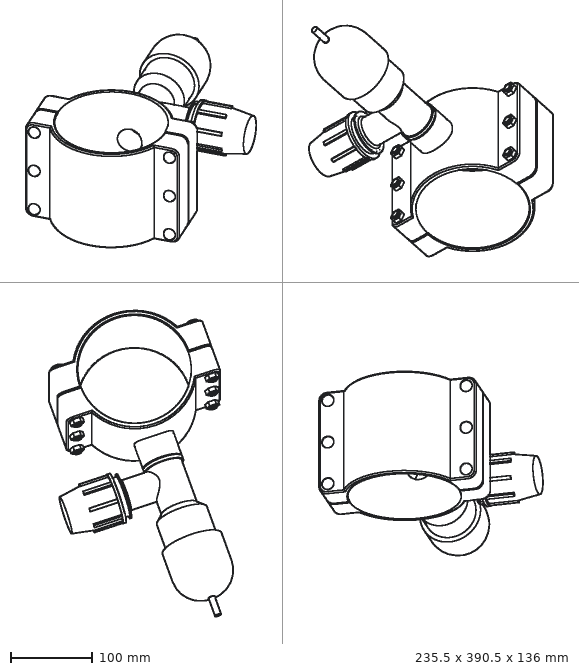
import cadquery as cq
import math

bore_radius = 70.0
ring_radius = 76.5
height = 136.0
flange_half_width = 100.5
flange_thickness = 35.0
corner_radius = 10.5
edge_chamfer = 2.0
split_chamfer = 1.0
bore_rim_chamfer = 1.0

bolt_x = 88.5
bolt_spacing = 56.0
head_diameter = 15.0
head_height = 3.5
head_rounding = 2.15
nut_across_flats = 15.0
nut_height = 5.5
bolt_diameter = 10.0
bolt_end_height = 8.0
bolt_end_chamfer = 1.0

socket_diameter = 51.0
socket_end = 105.0
groove_diameter = 48.0
groove_width = 0.8
collar_end = 110.5
tee_diameter = 47.0
tee_end = 168.5
body_diameter = 66.0
body_start = 177.8
body_end = 216.0
cap_diameter = 77.8
cap_end = 289.5
dome_radius = 36.0
rod_diameter = 8.2
rod_end = 314.0
outlet_diameter = 32.0

branch_y = 130.5
branch_diameter = 39.0
branch_end = 56.3
lip_diameter = 57.5
lip_start = 59.0
lip_end = 60.5
lip_neck_diameter = 44.5
neck_diameter = 51.0
neck_end = 67.2
rim_diameter = 64.0
rim_end = 71.0
nut_diameter = 57.5
nut_end = 108.0
branch_tip_diameter = 48.0
overall_width = 235.5
branch_tip = overall_width - flange_half_width
rib_count = 8
rib_radius = 31.3
rib_width = 4.3


def saddle_half(side):
    """One half of the clamp; side is +1 toward +Y, -1 toward -Y."""
    split_face, outer_face = ("<Y", ">Y") if side > 0 else (">Y", "<Y")
    half_space = (
        cq.Workplane("XY")
        .box(2 * flange_half_width, ring_radius, height)
        .faces(split_face)
        .chamfer(split_chamfer)
        .translate((0, side * ring_radius / 2, 0))
    )
    shell = (
        cq.Workplane("XY")
        .circle(ring_radius)
        .extrude(height / 2, both=True)
        .faces("|Z")
        .chamfer(edge_chamfer)
        .intersect(half_space)
    )
    flange = (
        cq.Workplane("XY")
        .box(2 * flange_half_width, flange_thickness, height)
        .edges("|Y")
        .fillet(corner_radius)
        .faces(split_face)
        .chamfer(split_chamfer)
        .faces(outer_face)
        .chamfer(edge_chamfer)
        .translate((0, side * flange_thickness / 2, 0))
    )
    return shell.union(flange)


def bolt(x, z):
    """Round head on the -Y flange, hexagon nut and bolt end on the +Y flange."""
    at_bolt = cq.Workplane("XZ", origin=(x, 0, z))
    head = (
        at_bolt.workplane(offset=flange_thickness)
        .circle(head_diameter / 2)
        .extrude(head_height)
        .faces("<Y")
        .edges()
        .fillet(head_rounding)
    )
    across_corners = nut_across_flats / math.cos(math.pi / 6)
    nut = (
        at_bolt.workplane(offset=-flange_thickness)
        .polygon(6, across_corners)
        .extrude(-nut_height)
    )
    shank = (
        at_bolt.workplane(offset=-flange_thickness)
        .circle(bolt_diameter / 2)
        .extrude(-bolt_end_height)
        .faces(">Y")
        .chamfer(bolt_end_chamfer)
    )
    return head.union(nut).union(shank)


def riser():
    """Socket, tee, body, domed cap and rod, turned about Y."""
    groove_end = socket_end + groove_width
    dome_flat = cap_diameter / 2 - dome_radius
    dome_start = cap_end - dome_radius
    bend = dome_radius * math.sqrt(0.5)
    return (
        cq.Workplane("XY")
        .moveTo(0, bore_radius)
        .lineTo(socket_diameter / 2, bore_radius)
        .lineTo(socket_diameter / 2, socket_end)
        .lineTo(groove_diameter / 2, socket_end)
        .lineTo(groove_diameter / 2, groove_end)
        .lineTo(socket_diameter / 2, groove_end)
        .lineTo(socket_diameter / 2, collar_end)
        .lineTo(tee_diameter / 2, collar_end)
        .lineTo(tee_diameter / 2, tee_end)
        .lineTo(body_diameter / 2, body_start)
        .lineTo(body_diameter / 2, body_end)
        .lineTo(cap_diameter / 2, body_end)
        .lineTo(cap_diameter / 2, dome_start)
        .threePointArc((dome_flat + bend, dome_start + bend), (dome_flat, cap_end))
        .lineTo(rod_diameter / 2, cap_end)
        .lineTo(rod_diameter / 2, rod_end)
        .lineTo(0, rod_end)
        .close()
        .revolve(360, (0, 0, 0), (0, 1, 0))
    )


def branch():
    """Side pipe with its lip, neck and ribbed, tapered compression nut."""
    turned = (
        cq.Workplane("XY")
        .moveTo(0, 0)
        .lineTo(0, branch_diameter / 2)
        .lineTo(branch_end, branch_diameter / 2)
        .lineTo(lip_start, lip_neck_diameter / 2)
        .lineTo(lip_start, lip_diameter / 2)
        .lineTo(lip_end, lip_diameter / 2)
        .lineTo(lip_end, neck_diameter / 2)
        .lineTo(neck_end, neck_diameter / 2)
        .lineTo(neck_end, rim_diameter / 2)
        .lineTo(rim_end, rim_diameter / 2)
        .lineTo(rim_end, nut_diameter / 2)
        .lineTo(nut_end, nut_diameter / 2)
        .lineTo(branch_tip, branch_tip_diameter / 2)
        .lineTo(branch_tip, 0)
        .close()
        .revolve(360, (0, 0, 0), (1, 0, 0))
    )
    pitch = 360 / rib_count
    for index in range(rib_count):
        rib = (
            cq.Workplane("XY")
            .box(nut_end - rim_end, rib_radius, rib_width, centered=(False, False, True))
            .translate((rim_end, 0, 0))
            .rotate((0, 0, 0), (1, 0, 0), (index + 0.5) * pitch)
        )
        turned = turned.union(rib)
    return turned.translate((0, branch_y, 0))


def bore_rim(side):
    """Tapered half disc that bevels the -Y half of the bore; side is +1 at the top, -1 at the bottom."""
    rim_z = side * height / 2
    bevel_z = rim_z - side * bore_rim_chamfer
    return (
        cq.Workplane("XZ")
        .moveTo(0, bevel_z)
        .lineTo(bore_radius, bevel_z)
        .lineTo(bore_radius + bore_rim_chamfer, rim_z)
        .lineTo(0, rim_z)
        .close()
        .revolve(180, (0, 4), (0, 0))
    )


result = saddle_half(1).union(saddle_half(-1))
result = result.union(riser()).union(branch())
for x in (-bolt_x, bolt_x):
    for z in (-bolt_spacing, 0, bolt_spacing):
        result = result.union(bolt(x, z))

bore = cq.Workplane("XY").circle(bore_radius).extrude(height / 2, both=True)
outlet = cq.Workplane("XZ").circle(outlet_diameter / 2).extrude(-collar_end)
result = result.cut(bore).cut(bore_rim(1)).cut(bore_rim(-1)).cut(outlet)